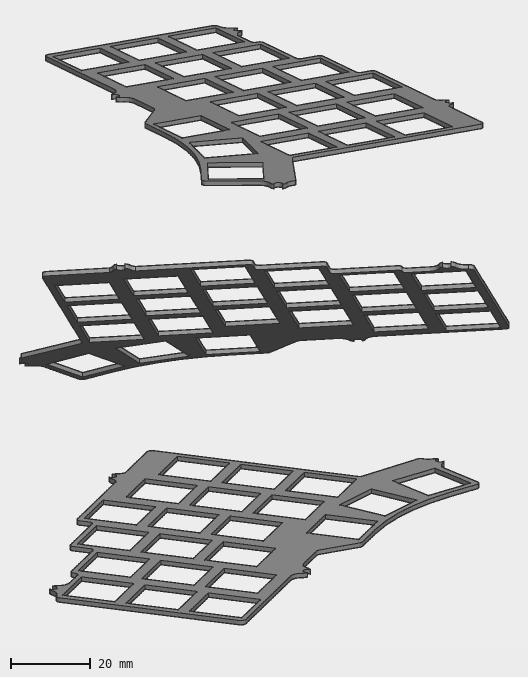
import cadquery as cq
import math

THICKNESS = 1.2

OPENING = 13.9
COLUMN_PITCH = 18.0
ROW_PITCH = 17.0
ROWS = 3
FIRST_COLUMN_X = 9.1
COLUMN_BOTTOM_Y = [30.0, 32.3, 39.0, 43.7, 39.0, 36.8]
THUMB_KEYS = [(72.2, 21.5, 0), (91.9, 19.0, -15), (110.4, 11.4, -30)]

RIGHT_X = 107.9
STEP_X = [18.0, 36.0, 54.0]
TOP_Y = [72.3, 74.7, 81.4, 86.1]
BOTTOM_Y = 21.7
THUMB_BOTTOM_Y = 13.0
SLOPE_START_X = 54.2
SLOPE_END_X = 63.3
SHOULDER_Y = 29.5
THUMB_TOP_ANGLE = -28.3
THUMB_ANGLE = THUMB_KEYS[-1][2]
THUMB_SIDE_MARGIN = 8.9
THUMB_FRONT_MARGIN = 8.7
CORNER_RADIUS = 1.4
STEP_RADIUS = 1.0
SWEEP_RADIUS = 63.3

BACK_TAB_SETBACK = 0.45
TABS = [
    (6.2, TOP_Y[0], 0),
    (87.1, TOP_Y[-1] - BACK_TAB_SETBACK, 0),
    (39.4, BOTTOM_Y, 180),
]
TAB_RADIUS = 2.22
TAB_RISE = 1.22
TAB_BLEND = 3.0
NOTCH_RADIUS = 1.1
NOTCH_RISE = 2.8
END_TAB_OFFSET = 10.5


def unit(angle):
    return math.cos(math.radians(angle)), math.sin(math.radians(angle))


def from_last_key(along, across):
    """Point at the given offsets from the last thumb key, in its turned frame."""
    key_x, key_y, turn = THUMB_KEYS[-1]
    c, s = unit(turn)
    return key_x + along * c - across * s, key_y + along * s + across * c


def crossing(p, p_angle, q, q_angle):
    """Crossing point of two lines given by a point and a direction."""
    (pc, ps), (qc, qs) = unit(p_angle), unit(q_angle)
    t = ((q[0] - p[0]) * qs - (q[1] - p[1]) * qc) / (pc * qs - ps * qc)
    return p[0] + t * pc, p[1] + t * ps


shoulder = (RIGHT_X, SHOULDER_Y)
thumb_front = from_last_key(THUMB_SIDE_MARGIN, -THUMB_FRONT_MARGIN)
thumb_back = crossing(shoulder, THUMB_TOP_ANGLE, thumb_front, THUMB_ANGLE + 90)


def round_corner(body, corner, radius):
    """Fillet the upright edge nearest to an outline corner."""
    edge = cq.selectors.NearestToPointSelector((*corner, THICKNESS / 2))
    return body.edges("|Z").edges(edge).fillet(radius)


def make_body():
    """Plate outline with every corner rounded except the one the end tab runs into."""
    left_front = (0, BOTTOM_Y)
    left_back = (0, TOP_Y[0])
    steps = []
    for x, low, high in zip(STEP_X, TOP_Y, TOP_Y[1:]):
        steps += [(x, low), (x, high)]
    right_back = (RIGHT_X, TOP_Y[-1])
    sweep = crossing((SLOPE_END_X, THUMB_BOTTOM_Y), 0, thumb_front, THUMB_ANGLE)
    slope_end = (SLOPE_END_X, THUMB_BOTTOM_Y)
    slope_start = (SLOPE_START_X, BOTTOM_Y)

    outline = [left_front, left_back, *steps, right_back, shoulder, thumb_back,
               thumb_front, sweep, slope_end, slope_start]
    body = cq.Workplane("XY").polyline(outline).close().extrude(THICKNESS)

    roundings = [
        (SWEEP_RADIUS, [sweep]),
        (CORNER_RADIUS, [left_front, left_back, right_back, shoulder, thumb_front,
                         slope_end, slope_start]),
        (STEP_RADIUS, steps),
    ]
    for radius, corners in roundings:
        for corner in corners:
            body = round_corner(body, corner, radius)
    return body


def make_tab():
    """Round-ended tab pointing along +Y, blended into a base line at Y = 0."""
    reach = TAB_RADIUS + TAB_BLEND
    blend_x = math.sqrt(reach ** 2 - (TAB_BLEND - TAB_RISE) ** 2)
    touch_x = blend_x * TAB_RADIUS / reach
    touch_y = TAB_RISE + (TAB_BLEND - TAB_RISE) * TAB_RADIUS / reach
    touch_angle = math.degrees(math.atan2(touch_y - TAB_BLEND, touch_x - blend_x)) % 360
    c, s = unit((touch_angle + 270) / 2)
    mid_x = blend_x + TAB_BLEND * c
    mid_y = TAB_BLEND + TAB_BLEND * s
    return (
        cq.Workplane("XY")
        .moveTo(-blend_x, 0)
        .threePointArc((-mid_x, mid_y), (-touch_x, touch_y))
        .threePointArc((0, TAB_RISE + TAB_RADIUS), (touch_x, touch_y))
        .threePointArc((mid_x, mid_y), (blend_x, 0))
        .lineTo(blend_x, -TAB_RISE)
        .lineTo(-blend_x, -TAB_RISE)
        .close()
        .extrude(THICKNESS)
        .cut(cq.Workplane("XY").center(0, NOTCH_RISE).circle(NOTCH_RADIUS).extrude(THICKNESS))
    )


def make_opening(x, y, turn=0):
    opening = cq.Workplane("XY").rect(OPENING, OPENING).extrude(THICKNESS)
    return opening.rotate((0, 0, 0), (0, 0, 1), turn).translate((x, y, 0))


def make_tab_at(x, y, turn):
    return make_tab().rotate((0, 0, 0), (0, 0, 1), turn).translate((x, y, 0))


def make_end_tab():
    """Tab on the thumb end edge, trimmed flush with the sloping thumb top."""
    end_x, end_y = from_last_key(THUMB_SIDE_MARGIN, END_TAB_OFFSET)
    trim_size = 4 * TAB_BLEND
    trim = (
        cq.Workplane("XY")
        .box(trim_size, trim_size, THICKNESS, centered=(True, False, False))
        .rotate((0, 0, 0), (0, 0, 1), THUMB_TOP_ANGLE)
        .translate((*thumb_back, 0))
    )
    return make_tab_at(end_x, end_y, THUMB_ANGLE - 90).cut(trim)


result = make_body()

for x, y, turn in TABS:
    result = result.union(make_tab_at(x, y, turn))
result = result.union(make_end_tab())
result = round_corner(result, thumb_back, STEP_RADIUS)

for column, bottom_y in enumerate(COLUMN_BOTTOM_Y):
    for row in range(ROWS):
        x = FIRST_COLUMN_X + column * COLUMN_PITCH
        result = result.cut(make_opening(x, bottom_y + row * ROW_PITCH))
for x, y, turn in THUMB_KEYS:
    result = result.cut(make_opening(x, y, turn))